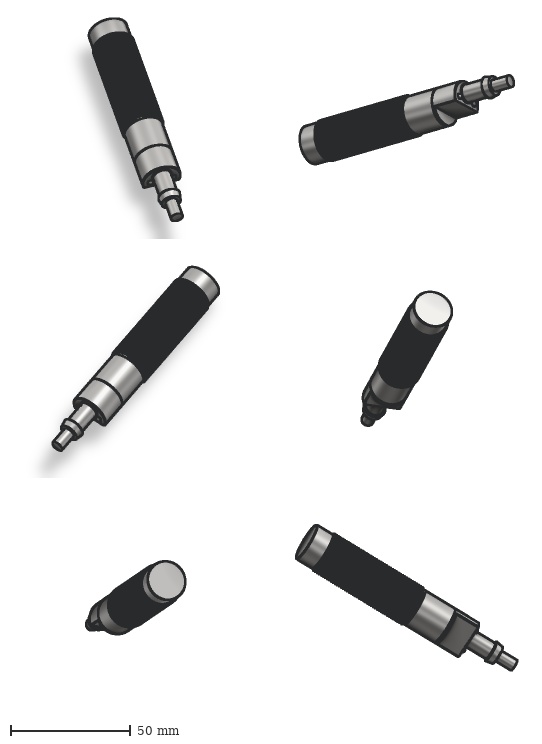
import cadquery as cq

total_length = 103.5
barrel_radius = 8.4
barrel_length = 80.9
front_chamfer = 0.2
end_chamfer = 0.3
overlap = 1.0

sleeve_start = 7.9
sleeve_end = 53.9
root_radius = 16.9 / 2
crest_radius = 17.9 / 2
ridge_start = 8.2
ridge_length = 45.0
thread_turns = 45
thread_pitch = ridge_length / thread_turns
crest_width = thread_pitch / 8
ridge_base_width = thread_pitch * 0.9
ridge_sink = 0.2

step_start = 69.9
step_height = -2.9
step_chamfer = 0.2

groove_start = 68.7
groove_width = 0.2
groove_depth = 0.1

outlet_height = 2.9
lip_radius = 4.2
lip_length = 0.3
neck_radius = 3.9
collar_start = 91.6
collar_base_radius = 4.1
collar_rim_at = 91.9
collar_rim_radius = 4.8
collar_end = 95.2
collar_end_radius = 4.1
cable_radius = 2.6

lamp_spacing = 9.9
lamp_radius = 1.2


def x_cylinder(start, end, radius):
    """Cylinder around the X axis from start to end."""
    return cq.Workplane("YZ", origin=(start, 0, 0)).circle(radius).extrude(end - start)


def make_barrel():
    barrel = x_cylinder(0, barrel_length, barrel_radius)
    barrel = barrel.faces("<X").chamfer(front_chamfer)
    barrel = barrel.faces(">X").chamfer(end_chamfer)

    cutter_length = barrel_length + overlap - step_start
    cutter_width = 2 * (barrel_radius + overlap)
    cutter = (
        cq.Workplane("XY", origin=(step_start, 0, step_height))
        .rect(cutter_length, cutter_width)
        .extrude(-barrel_radius)
        .translate((cutter_length / 2, 0, 0))
    )
    barrel = barrel.cut(cutter)
    barrel = barrel.edges("|X").edges("<Z").chamfer(step_chamfer)

    groove_end = groove_start + groove_width
    groove = x_cylinder(groove_start, groove_end, barrel_radius + overlap)
    groove = groove.cut(x_cylinder(groove_start, groove_end, barrel_radius - groove_depth))
    return barrel.cut(groove)


def make_ridge():
    """Ridge with a trapezoid section swept along the helix."""
    helix = cq.Wire.makeHelix(thread_pitch, ridge_length, root_radius)
    base_radius = root_radius - ridge_sink
    half_base = ridge_base_width / 2
    half_crest = crest_width / 2
    section = (
        cq.Workplane("XZ")
        .moveTo(base_radius, -half_base)
        .lineTo(crest_radius, -half_crest)
        .lineTo(crest_radius, half_crest)
        .lineTo(base_radius, half_base)
        .close()
    )
    ridge = section.sweep(cq.Workplane(helix), isFrenet=True)
    ridge = ridge.rotate((0, 0, 0), (0, 1, 0), 90)
    ridge = ridge.rotate((0, 0, 0), (1, 0, 0), 180)
    return ridge.translate((ridge_start, 0, 0))


def make_outlet():
    """Lip, neck, tapered collar and cable, turned as one profile."""
    root = barrel_length - overlap
    lip_end = barrel_length + lip_length
    profile = (
        cq.Workplane("XZ", origin=(0, 0, outlet_height))
        .moveTo(root, 0)
        .lineTo(root, lip_radius)
        .lineTo(lip_end, lip_radius)
        .lineTo(lip_end, neck_radius)
        .lineTo(collar_start, neck_radius)
        .lineTo(collar_start, collar_base_radius)
        .lineTo(collar_rim_at, collar_rim_radius)
        .lineTo(collar_end, collar_end_radius)
        .lineTo(collar_end, cable_radius)
        .lineTo(total_length, cable_radius)
        .lineTo(total_length, 0)
        .close()
    )
    return profile.revolve(360, (0, 0, 0), (1, 0, 0))


def make_lamp(side):
    """Ball half buried in the end face; side is -1 or 1 along Y."""
    center = (barrel_length, side * lamp_spacing / 2, 0)
    return cq.Workplane("XY", origin=center).sphere(lamp_radius)


result = make_barrel()
result = result.union(x_cylinder(sleeve_start, sleeve_end, root_radius))
result = result.union(make_outlet())
for lamp_side in (-1, 1):
    result = result.union(make_lamp(lamp_side))
result = result.union(make_ridge(), clean=False)